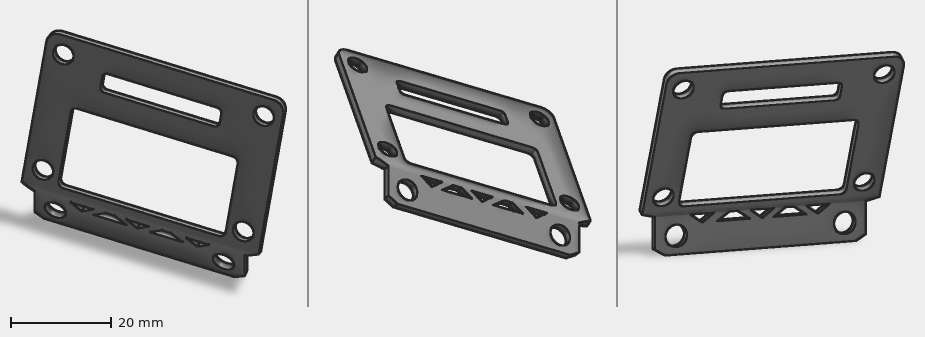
import cadquery as cq
import math

thickness = 1.6
bend_angle = 25
outer_bend_radius = 3.3
inner_bend_radius = outer_bend_radius - thickness

tab_width = 44.95
tab_height = 7.95
tab_chamfer_x = 2.15
tab_chamfer_z = 1.25
tab_hole_diameter = 4.55
tab_hole_x = 18.0
tab_hole_z = 3.85

truss_depth = 1.75
triangle_half_width = 2.45
triangle_centers = (-12.25, -0.4, 12.4)
trapezoid_half_base = 3.5
trapezoid_half_top = 0.95
trapezoid_centers = (-6.3, 5.75)

panel_width = 50.7
panel_length = 34.8
panel_corner_radius = 2.55
panel_hole_diameter = 4.3
panel_hole_x = 21.45
panel_hole_drops = (4.2, 30.8)
slot_width = 25.5
slot_top_drop = 5.45
slot_bottom_drop = 9.8
slot_corner_radius = 1
window_width = 35.75
window_top_drop = 15.1
window_bottom_drop = 33.45
window_corner_radius = 1.25


def mirrored_points(x, heights):
    """Points at +x and -x for each height."""
    return [(side * x, height) for height in heights for side in (-1, 1)]


def make_tab():
    half = tab_width / 2
    truss_bottom = tab_height - truss_depth
    sheet = cq.Workplane("XZ").polyline([
        (-half + tab_chamfer_x, 0),
        (half - tab_chamfer_x, 0),
        (half, tab_chamfer_z),
        (half, tab_height),
        (-half, tab_height),
        (-half, tab_chamfer_z),
    ]).close().extrude(-thickness)

    openings = (
        cq.Workplane("XZ")
        .pushPoints(mirrored_points(tab_hole_x, [tab_hole_z]))
        .circle(tab_hole_diameter / 2)
    )
    for center in triangle_centers:
        openings = openings.polyline([
            (center - triangle_half_width, tab_height),
            (center, truss_bottom),
            (center + triangle_half_width, tab_height),
        ]).close()
    for center in trapezoid_centers:
        openings = openings.polyline([
            (center - trapezoid_half_base, truss_bottom),
            (center + trapezoid_half_base, truss_bottom),
            (center + trapezoid_half_top, tab_height),
            (center - trapezoid_half_top, tab_height),
        ]).close()
    return sheet.cut(openings.extrude(-thickness))


def bend_point(radius, degrees):
    """(Y, Z) on the bend at a radius and an angle above the tab's top edge."""
    angle = math.radians(degrees)
    return (outer_bend_radius - radius * math.cos(angle), tab_height + radius * math.sin(angle))


def radial_section(width, degrees):
    """Rectangle along a bend radius, reaching past both faces of the sheet."""
    half = width / 2
    inner_y, inner_z = bend_point(inner_bend_radius / 2, degrees)
    outer_y, outer_z = bend_point(outer_bend_radius * 2, degrees)
    return cq.Wire.makePolygon([
        cq.Vector(-half, inner_y, inner_z),
        cq.Vector(half, inner_y, inner_z),
        cq.Vector(half, outer_y, outer_z),
        cq.Vector(-half, outer_y, outer_z),
    ], close=True)


def make_bend():
    """Curved strip that widens from the tab to the panel."""
    strip = (
        cq.Workplane("YZ")
        .moveTo(*bend_point(outer_bend_radius, 0))
        .threePointArc(
            bend_point(outer_bend_radius, bend_angle / 2),
            bend_point(outer_bend_radius, bend_angle),
        )
        .lineTo(*bend_point(inner_bend_radius, bend_angle))
        .threePointArc(
            bend_point(inner_bend_radius, bend_angle / 2),
            bend_point(inner_bend_radius, 0),
        )
        .close()
        .extrude(panel_width / 2, both=True)
    )
    flare = cq.Solid.makeLoft(
        [radial_section(tab_width, 0), radial_section(panel_width, bend_angle)], True
    )
    return strip.intersect(cq.Workplane(flare))


def rounded_opening(width, top_drop, bottom_drop, radius):
    height = bottom_drop - top_drop
    center_z = panel_length - (top_drop + bottom_drop) / 2
    return (
        cq.Workplane("XZ")
        .center(0, center_z)
        .rect(width, height)
        .extrude(-thickness)
        .edges("|Y")
        .fillet(radius)
    )


def make_panel():
    """Panel made upright on Z = 0, then tilted back onto the end of the bend."""
    sheet = (
        cq.Workplane("XZ")
        .center(0, panel_length / 2)
        .rect(panel_width, panel_length)
        .extrude(-thickness)
        .edges("|Y and >Z")
        .fillet(panel_corner_radius)
    )
    hole_heights = [panel_length - drop for drop in panel_hole_drops]
    holes = (
        cq.Workplane("XZ")
        .pushPoints(mirrored_points(panel_hole_x, hole_heights))
        .circle(panel_hole_diameter / 2)
        .extrude(-thickness)
    )
    slot = rounded_opening(slot_width, slot_top_drop, slot_bottom_drop, slot_corner_radius)
    window = rounded_opening(window_width, window_top_drop, window_bottom_drop, window_corner_radius)
    panel = sheet.cut(holes).cut(slot).cut(window)
    bend_end_y, bend_end_z = bend_point(outer_bend_radius, bend_angle)
    return panel.rotate((0, 0, 0), (1, 0, 0), -bend_angle).translate((0, bend_end_y, bend_end_z))


result = make_tab().union(make_bend()).union(make_panel())